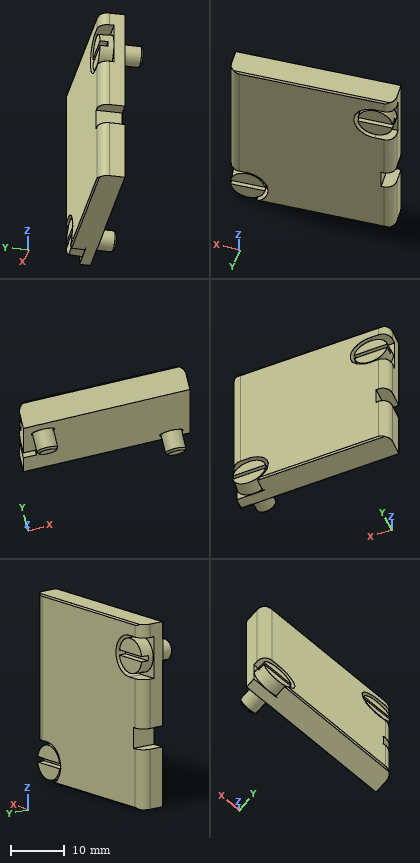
import cadquery as cq
import math

plate_width = 32.0
plate_height = 35.7
plate_thickness = 5.0
side_fillet = 2.0
end_chamfer = 0.3

notch_width = 4.0
notch_depth = 2.5
notch_center_z = 13.6

screws = [
    (3.75, 29.1, -1),
    (28.4, 3.6, 1),
]
screw_diameter = 4.0
screw_protrusion = 3.9
tip_chamfer = 0.4
clearance_diameter = 4.4
head_diameter = 7.0
head_height = 2.6
head_taper = 3.0
driver_slot_width = 1.0
driver_slot_depth = 1.5
pocket_width = 8.0
pocket_depth = 2.9
pocket_floor_y = plate_thickness - pocket_depth


def cylinder_along_y(x, z, diameter, y_start, y_end):
    axis_start = cq.Vector(x, y_start, z)
    solid = cq.Solid.makeCylinder(diameter / 2, y_end - y_start, axis_start, cq.Vector(0, 1, 0))
    return cq.Workplane(obj=solid)


def make_plate():
    plate = cq.Workplane().box(plate_width, plate_thickness, plate_height, centered=False)
    ends_chamfered = plate.edges(">Y and |X").chamfer(end_chamfer)
    plate = plate.edges(">Y and |Z").fillet(side_fillet).intersect(ends_chamfered)
    notch = (
        cq.Workplane()
        .box(2 * notch_depth, 2 * plate_thickness, notch_width)
        .translate((0, plate_thickness / 2, notch_center_z))
    )
    return plate.cut(notch)


def screw_opening(x, z, side):
    """Clearance hole through the plate and a round-ended head pocket open to one side."""
    hole = cylinder_along_y(x, z, clearance_diameter, 0, plate_thickness)
    round_end = cylinder_along_y(x, z, pocket_width, pocket_floor_y, plate_thickness)
    run_out = (
        cq.Workplane()
        .box(plate_width, pocket_depth, pocket_width)
        .translate((x + side * plate_width / 2, pocket_floor_y + pocket_depth / 2, z))
    )
    return hole.union(round_end).union(run_out)


def make_screw(x, z):
    """Screw with its head seated on the pocket floor and its chamfered tip ahead of the front face."""
    head_top_y = pocket_floor_y + head_height
    shank = cylinder_along_y(x, z, screw_diameter, -screw_protrusion, pocket_floor_y)
    shank = shank.faces("<Y").chamfer(tip_chamfer)
    head_base_radius = head_diameter / 2
    head_top_radius = head_base_radius - head_height * math.tan(math.radians(head_taper))
    head_seat = cq.Vector(x, pocket_floor_y, z)
    head = cq.Workplane(
        obj=cq.Solid.makeCone(head_base_radius, head_top_radius, head_height, head_seat, cq.Vector(0, 1, 0))
    )
    driver_slot = (
        cq.Workplane()
        .box(2 * head_diameter, 2 * driver_slot_depth, driver_slot_width)
        .translate((x, head_top_y, z))
    )
    return shank.union(head.cut(driver_slot))


result = make_plate()
for screw_x, screw_z, open_side in screws:
    result = result.cut(screw_opening(screw_x, screw_z, open_side))
    result = result.union(make_screw(screw_x, screw_z))